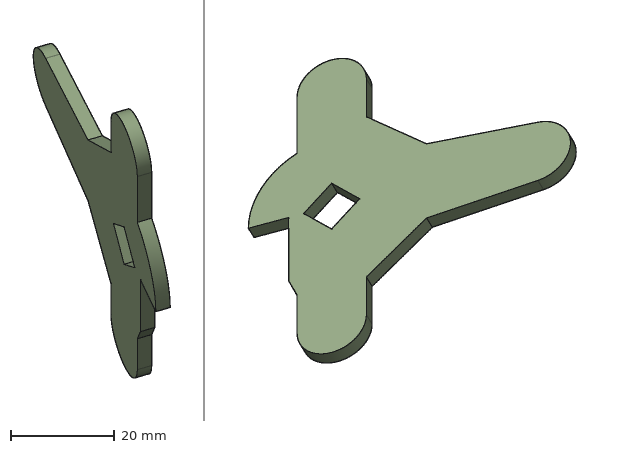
import cadquery as cq
import math

thickness = 3.0
half_height = 37.5

arm_radius = 7.3
arm_end_z = half_height - arm_radius
arm_root_z = 20.55

side_reach = 50.0
side_radius = 7.5
side_center_x = side_radius - side_reach
side_root_x = -19.9
side_root_z = 9.5

cam_radius = 17.5
cam_start_z = math.sqrt(cam_radius**2 - arm_radius**2)
cam_mid = cam_radius * math.sin(math.atan2(cam_start_z, arm_radius) / 2)
cam_mid_x = math.sqrt(cam_radius**2 - cam_mid**2)
flank_x = 9.0
flank_bottom_z = -16.3

hole_diagonal = 11.7
hole_side = hole_diagonal / math.sqrt(2)

root_dx = side_root_x - side_center_x
root_distance = math.hypot(root_dx, side_root_z)
tangent_angle = math.atan2(side_root_z, root_dx) + math.acos(side_radius / root_distance)
tangent_x = side_center_x + side_radius * math.cos(tangent_angle)
tangent_z = side_radius * math.sin(tangent_angle)

plate = (
    cq.Workplane("XZ")
    .moveTo(-arm_radius, arm_root_z)
    .lineTo(-arm_radius, arm_end_z)
    .threePointArc((0, half_height), (arm_radius, arm_end_z))
    .lineTo(arm_radius, cam_start_z)
    .threePointArc((cam_mid_x, cam_mid), (cam_radius, 0))
    .lineTo(flank_x, 0)
    .lineTo(flank_x, flank_bottom_z)
    .lineTo(arm_radius, -arm_root_z)
    .lineTo(arm_radius, -arm_end_z)
    .threePointArc((0, -half_height), (-arm_radius, -arm_end_z))
    .lineTo(-arm_radius, -arm_root_z)
    .lineTo(side_root_x, -side_root_z)
    .lineTo(tangent_x, -tangent_z)
    .threePointArc((-side_reach, 0), (tangent_x, tangent_z))
    .lineTo(side_root_x, side_root_z)
    .close()
    .extrude(thickness / 2, both=True)
)

hole = (
    cq.Workplane("XZ")
    .transformed(rotate=(0, 0, 45))
    .rect(hole_side, hole_side)
    .extrude(thickness, both=True)
)

result = plate.cut(hole)